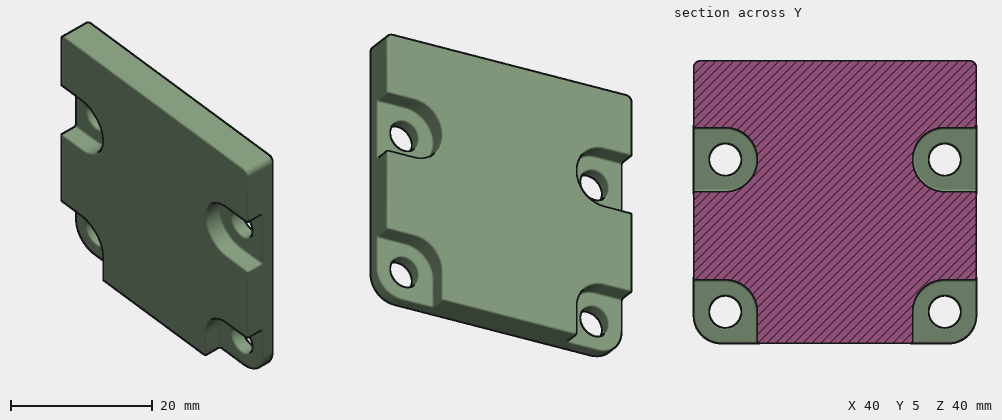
import cadquery as cq
import math

width = 40.0
thickness = 5.0
height = 40.0
top_corner_radius = 1.0
bottom_corner_radius = 4.0
edge_radius = 0.3

hole_diameter = 4.5
hole_inset = 4.5
hole_row_spacing = 21.5
pocket_radius = 4.5
pocket_depth = 2.8

side_hole_x = width / 2 - hole_inset
lower_hole_z = hole_inset
upper_hole_z = lower_hole_z + hole_row_spacing
overshoot = 2.0
tolerance = 0.01


def make_plate():
    plate = cq.Workplane("XY").box(width, thickness, height, centered=(True, False, False))
    plate = plate.edges("|Y and >Z").fillet(top_corner_radius)
    return plate.edges("|Y and <Z").fillet(bottom_corner_radius)


def cut_hole(body, side, center_z):
    """Through hole beside one side wall."""
    hole = cq.Workplane("XZ").center(side * side_hole_x, center_z).circle(hole_diameter / 2)
    return body.cut(hole.extrude(-thickness))


def cut_pocket(body, side, center_z, opens_down):
    """Round-ended pocket open to the side, and to the bottom as well if opens_down."""
    center_x = side * side_hole_x
    outer_x = side * (width / 2 + overshoot)
    inner_x = center_x - side * pocket_radius
    top_z = center_z + pocket_radius
    outline = cq.Workplane("XZ").moveTo(outer_x, top_z).lineTo(center_x, top_z)
    if opens_down:
        diagonal = pocket_radius * math.sqrt(0.5)
        arc_middle = (center_x - side * diagonal, center_z + diagonal)
        outline = outline.threePointArc(arc_middle, (inner_x, center_z))
        outline = outline.lineTo(inner_x, -overshoot).lineTo(outer_x, -overshoot)
    else:
        bottom_z = center_z - pocket_radius
        outline = outline.threePointArc((inner_x, center_z), (center_x, bottom_z))
        outline = outline.lineTo(outer_x, bottom_z)
    cutter = outline.close().extrude(-pocket_depth)
    cutter = cutter.faces(">Y").edges().fillet(edge_radius)
    return body.cut(cutter)


def is_pocket_edge(edge):
    """True for hole edges on pocket floors and edges where pockets break through the walls."""
    center = edge.Center()
    on_side = abs(center.x) > width / 2 - tolerance
    on_bottom = center.z < tolerance
    between_faces = tolerance < center.y < pocket_depth + tolerance
    below_top_corner = center.z < height - 2 * top_corner_radius
    on_floor = abs(center.y - pocket_depth) < tolerance
    round_hole = edge.geomType() == "CIRCLE" and edge.IsClosed()
    on_mouth = (on_side or on_bottom) and between_faces and below_top_corner
    return on_mouth or (on_floor and round_hole)


def round_edges(body):
    """Round the front and back rims, the pocket mouths and the holes together."""
    face_rims = body.faces("<Y or >Y").edges()
    pocket_edges = body.edges().filter(is_pocket_edge)
    return face_rims.add(pocket_edges).fillet(edge_radius)


body = make_plate()
for side in (-1, 1):
    body = cut_pocket(body, side, upper_hole_z, opens_down=False)
    body = cut_pocket(body, side, lower_hole_z, opens_down=True)
    body = cut_hole(body, side, upper_hole_z)
    body = cut_hole(body, side, lower_hole_z)
result = round_edges(body).solids()